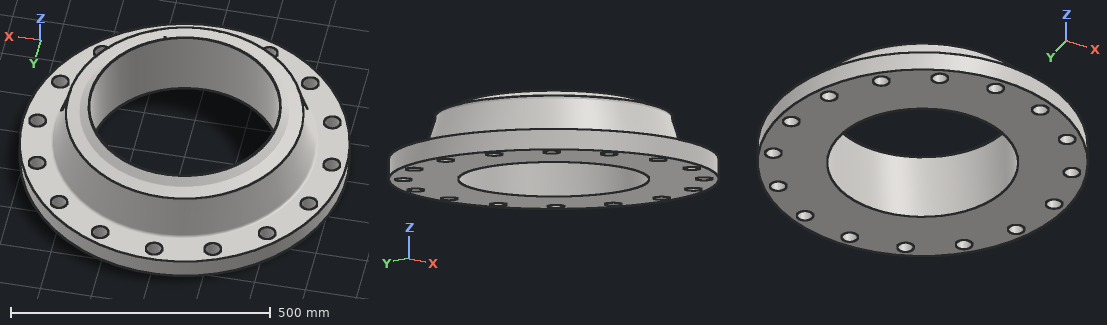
import cadquery as cq

flange_diameter = 635.0
flange_thickness = 40.0
bore_diameter = 367.0

bolt_count = 16
bolt_circle_diameter = 578.0
bolt_hole_diameter = 32.0

overall_height = 139.5
hub_base_radius = 252.5
hub_top_radius = 228.5
hub_taper_top = 115.5
hub_band_top = 122.0
hub_root_fillet = 6.5

lip_base_radius = 202.0
lip_base_height = 126.5
lip_land_width = 1.0
lip_root_fillet = 2.5

edge_search_margin = 0.5

flange_radius = flange_diameter / 2
bore_radius = bore_diameter / 2


def make_body():
    """Revolve the half section of flange, hub and lip about Z."""
    section = (
        cq.Workplane("XZ")
        .moveTo(bore_radius, 0)
        .lineTo(flange_radius, 0)
        .lineTo(flange_radius, flange_thickness)
        .lineTo(hub_base_radius, flange_thickness)
        .lineTo(hub_top_radius, hub_taper_top)
        .lineTo(hub_top_radius, hub_band_top)
        .lineTo(lip_base_radius, lip_base_height)
        .lineTo(bore_radius + lip_land_width, overall_height)
        .lineTo(bore_radius, overall_height)
        .close()
    )
    return section.revolve(360, (0, 0, 0), (0, 1, 0))


def fillet_ring(body, ring_radius, ring_height, fillet_radius):
    """Round the circular edge of the body at the given radius and height."""
    reach = ring_radius + edge_search_margin
    ring_edge = cq.selectors.BoxSelector(
        (-reach, -reach, ring_height - edge_search_margin),
        (reach, reach, ring_height + edge_search_margin),
        boundingbox=True,
    )
    return body.edges(ring_edge).fillet(fillet_radius)


def make_bolt_holes():
    """Cylinders through the flange, evenly spaced from the +X axis."""
    return (
        cq.Workplane("XY")
        .polarArray(bolt_circle_diameter / 2, 0, 360, bolt_count)
        .circle(bolt_hole_diameter / 2)
        .extrude(flange_thickness)
    )


body = make_body()
body = fillet_ring(body, hub_base_radius, flange_thickness, hub_root_fillet)
body = fillet_ring(body, lip_base_radius, lip_base_height, lip_root_fillet)

result = body.cut(make_bolt_holes())